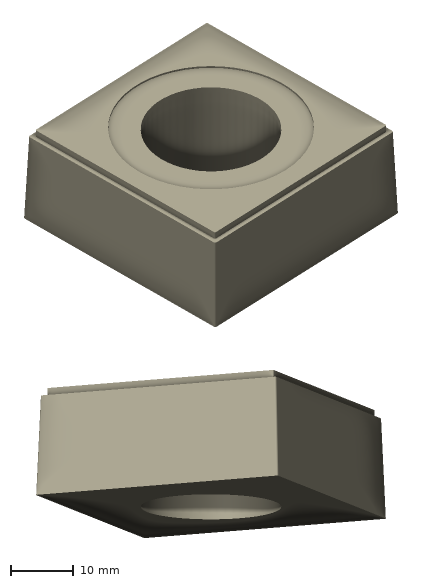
import cadquery as cq
import math

base_side = 42.5
shoulder_side = 41.35
shoulder_height = 16.25
body_corner_radius = 0.3

total_height = 17.5
platform_side = 39.8
platform_corner_radius = 0.2

bore_diameter = 22.52
recess_diameter = 33.0
recess_depth = 0.35

platform_height = total_height - shoulder_height
taper_angle = math.degrees(math.atan2((base_side - shoulder_side) / 2, shoulder_height))

body = (
    cq.Workplane("XY")
    .rect(base_side, base_side)
    .extrude(shoulder_height, taper=taper_angle)
    .edges("not(|X or |Y)")
    .fillet(body_corner_radius)
)

platform = (
    cq.Workplane("XY", origin=(0, 0, shoulder_height))
    .rect(platform_side, platform_side)
    .extrude(platform_height)
    .edges("|Z")
    .fillet(platform_corner_radius)
)

bore = cq.Workplane("XY").circle(bore_diameter / 2).extrude(total_height)

recess = (
    cq.Workplane("XY", origin=(0, 0, total_height - recess_depth))
    .circle(recess_diameter / 2)
    .extrude(recess_depth)
)

result = body.union(platform).cut(bore).cut(recess)